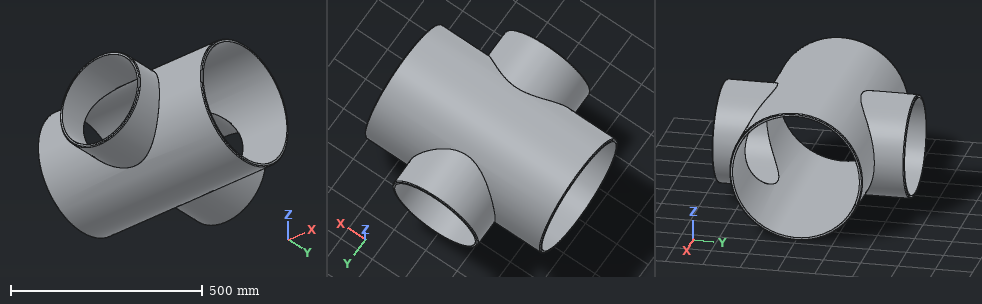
import cadquery as cq

RUN_DIAMETER = 355.6
RUN_LENGTH = 558.8
BRANCH_DIAMETER = 273.0
BRANCH_LENGTH = 514.1

WALL = 7.92
BEVEL = WALL / 3


def bar(plane, diameter, length):
    """Round bar centred on the origin, along the normal of the given plane."""
    return cq.Workplane(plane).circle(diameter / 2).extrude(length / 2, both=True)


def pipe_outside(plane, diameter, length):
    """Outer envelope of a pipe, with both end rims bevelled."""
    return bar(plane, diameter, length).edges("%CIRCLE").chamfer(BEVEL)


def pipe_bore(plane, diameter, length):
    """Material removed to open a pipe from end to end."""
    return bar(plane, diameter - 2 * WALL, length)


run = ("YZ", RUN_DIAMETER, RUN_LENGTH)
branch = ("XZ", BRANCH_DIAMETER, BRANCH_LENGTH)

body = pipe_outside(*run).union(pipe_outside(*branch))
result = body.cut(pipe_bore(*run)).cut(pipe_bore(*branch))